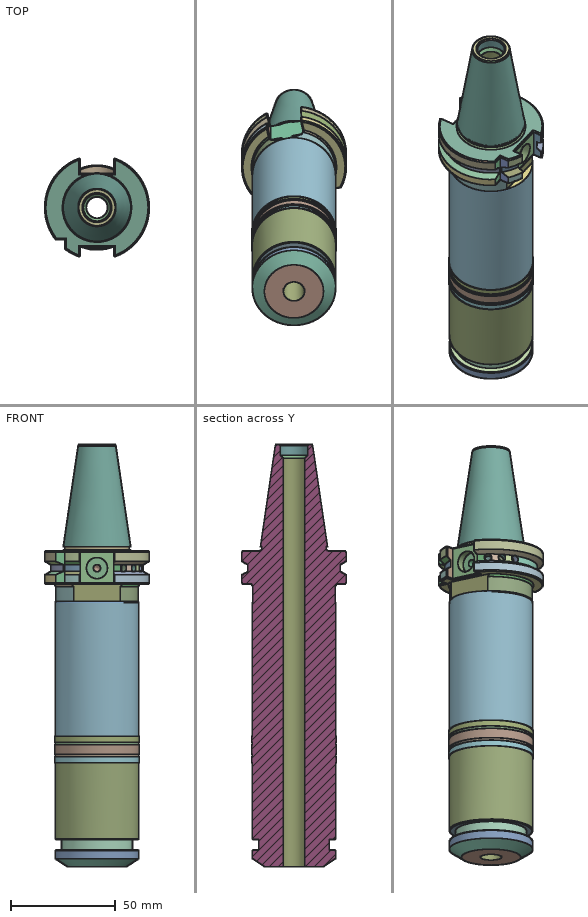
import cadquery as cq
import math

TOTAL_LENGTH = 201.6
BODY_R = 20.0
NOSE_R = 14.1
NOSE_CONE_TOP = 3.8
NUT_GROOVE_BOTTOM = 8.0
NUT_GROOVE_TOP = 13.0
NUT_GROOVE_R = 34.0 / 2
NUT_GROOVE_EDGE = 0.5
SHOULDER_EDGE = 126.0
NECK_BOTTOM = 126.6
NECK_R = 19.8
NECK_ROOT_R = 20.4
NECK_ROOT_HEIGHT = 1.2

RING_R = 40.5 / 2
RING_SPANS = [(49.6, 52.5), (53.6, 58.3), (59.5, 62.3)]

FLANGE_R = 25.0
FLANGE_BOTTOM = 135.0
FLANGE_TOP = 150.8
FLANGE_EDGE = 0.6
V_CENTER = 142.5
V_FLOOR_R = 22.2
V_FLOOR_HALF = 1.6
V_FLANK_ANGLE = 30.0

RELIEF_R = 15.5
RELIEF_ROOT_R = 16.5
RELIEF_ROOT_HEIGHT = 0.6
TAPER_BOTTOM = 152.9
TAPER_BOTTOM_R = 16.1
TAPER_TOP_R = 9.0
TAPER_EDGE_WIDTH = 0.5
TAPER_EDGE_HEIGHT = 0.8

BORE_D = 10.0
SOCKET_D = 13.0
SOCKET_DEPTH = 5.2
SOCKET_EDGE = 0.6

SLOT_WIDTH = 16.1
SLOT_EDGE = 0.5
FRONT_SLOT_FLOOR = 19.0
REAR_SLOT_FLOOR = 16.3
REAR_SLOT_END = 126.6
NECK_FLAT = 16.3
NOTCH_CORNER = 15.3

CHIP_HOLE_D = 10.0
CHIP_HOLE_DEPTH = 4.0
PILOT_D = 3.5
PILOT_DEPTH = 3.0
BALANCE_ANGLES = [-55.0, -37.5, -20.0]
BALANCE_DEPTH = 4.0
DRILL_POINT_ANGLE = 118.0


def turned(profile):
    """Solid of revolution about Z from (radius, height) points."""
    return cq.Workplane("XZ").polyline(profile).close().revolve(360, (0, 0), (0, 1))


def shaft():
    """Body, neck and taper."""
    return turned([
        (0, 0),
        (NOSE_R, 0),
        (BODY_R, NOSE_CONE_TOP),
        (BODY_R, NUT_GROOVE_BOTTOM - NUT_GROOVE_EDGE),
        (BODY_R - NUT_GROOVE_EDGE, NUT_GROOVE_BOTTOM),
        (NUT_GROOVE_R, NUT_GROOVE_BOTTOM),
        (NUT_GROOVE_R, NUT_GROOVE_TOP),
        (BODY_R - NUT_GROOVE_EDGE, NUT_GROOVE_TOP),
        (BODY_R, NUT_GROOVE_TOP + NUT_GROOVE_EDGE),
        (BODY_R, SHOULDER_EDGE),
        (NECK_R, NECK_BOTTOM),
        (NECK_R, FLANGE_BOTTOM - NECK_ROOT_HEIGHT),
        (NECK_ROOT_R, FLANGE_BOTTOM),
        (RELIEF_ROOT_R, FLANGE_BOTTOM),
        (RELIEF_ROOT_R, FLANGE_TOP),
        (RELIEF_R, FLANGE_TOP + RELIEF_ROOT_HEIGHT),
        (RELIEF_R, TAPER_BOTTOM),
        (TAPER_BOTTOM_R, TAPER_BOTTOM),
        (TAPER_TOP_R, TOTAL_LENGTH - TAPER_EDGE_HEIGHT),
        (TAPER_TOP_R - TAPER_EDGE_WIDTH, TOTAL_LENGTH),
        (0, TOTAL_LENGTH),
    ])


def v_groove():
    """Ring-shaped cutter with a flat floor and sloping flanks."""
    mouth_half = V_FLOOR_HALF + (FLANGE_R - V_FLOOR_R) * math.tan(math.radians(V_FLANK_ANGLE))
    return turned([
        (V_FLOOR_R, V_CENTER - V_FLOOR_HALF),
        (V_FLOOR_R, V_CENTER + V_FLOOR_HALF),
        (FLANGE_R, V_CENTER + mouth_half),
        (FLANGE_R, V_CENTER - mouth_half),
    ])


def flange():
    """Slotted and notched disc, chamfered along its top and bottom outlines, then V-grooved."""
    disc = cq.Workplane("XY").workplane(offset=FLANGE_BOTTOM).circle(FLANGE_R)
    disc = disc.extrude(FLANGE_TOP - FLANGE_BOTTOM)
    for cutter in (front_slot(), rear_slot(), corner_notch()):
        disc = disc.cut(cutter)
    disc = disc.faces("<Z or >Z").edges().chamfer(FLANGE_EDGE)
    return disc.cut(v_groove())


def body_ring(bottom, top):
    return cq.Workplane("XY").workplane(offset=bottom).circle(RING_R).extrude(top - bottom)


def bore():
    """Through bore with a wider socket in the taper end, joined by a 45 degree cone."""
    bore_r = BORE_D / 2
    socket_r = SOCKET_D / 2
    socket_floor = TOTAL_LENGTH - SOCKET_DEPTH
    return turned([
        (0, 0),
        (bore_r, 0),
        (bore_r, socket_floor - (socket_r - bore_r)),
        (socket_r, socket_floor),
        (socket_r, TOTAL_LENGTH - SOCKET_EDGE),
        (socket_r + SOCKET_EDGE, TOTAL_LENGTH),
        (0, TOTAL_LENGTH),
    ])


def block(x_span, y_span, z_span):
    """Box between the given limits along each axis."""
    sizes = [high - low for low, high in (x_span, y_span, z_span)]
    corner = (x_span[0], y_span[0], z_span[0])
    return cq.Workplane("XY").box(*sizes, centered=False).translate(corner)


def slot_mouth_bevel(direction):
    """Wedge that widens a drive slot towards the flange rim, on the +Y (1) or -Y (-1) side."""
    half = SLOT_WIDTH / 2
    rim = math.sqrt(FLANGE_R**2 - (half + SLOT_EDGE) ** 2)
    reach = FLANGE_R - rim + SLOT_EDGE
    points = [
        (-half, direction * (rim - SLOT_EDGE)),
        (half, direction * (rim - SLOT_EDGE)),
        (half + reach, direction * (rim - SLOT_EDGE + reach)),
        (-half - reach, direction * (rim - SLOT_EDGE + reach)),
    ]
    wedge = cq.Workplane("XY").workplane(offset=FLANGE_BOTTOM).polyline(points).close()
    return wedge.extrude(FLANGE_TOP - FLANGE_BOTTOM)


def front_slot():
    half = SLOT_WIDTH / 2
    slot = block((-half, half), (-FLANGE_R, -FRONT_SLOT_FLOOR), (FLANGE_BOTTOM, FLANGE_TOP))
    return slot.union(slot_mouth_bevel(-1))


def rear_slot():
    """Drive slot that runs on into the neck and ends in a full round."""
    half = SLOT_WIDTH / 2
    round_center = REAR_SLOT_END + half
    slot = block((-half, half), (REAR_SLOT_FLOOR, FLANGE_R), (round_center, FLANGE_TOP))
    end = (
        cq.Workplane("XZ", origin=(0, FLANGE_R, round_center))
        .circle(half)
        .extrude(FLANGE_R - REAR_SLOT_FLOOR)
    )
    return slot.union(end).union(slot_mouth_bevel(1))


def neck_flat():
    return block((-FLANGE_R, FLANGE_R), (-FLANGE_R, -NECK_FLAT), (NECK_BOTTOM, FLANGE_BOTTOM))


def corner_notch():
    return block(
        (-FLANGE_R, -NOTCH_CORNER), (-FLANGE_R, -NOTCH_CORNER), (FLANGE_BOTTOM, FLANGE_TOP)
    )


def radial_drill(angle, surface_distance, diameter, depth):
    """Drilled hole with a pointed end, running from a surface towards the part axis."""
    radius = diameter / 2
    point = radius / math.tan(math.radians(DRILL_POINT_ANGLE / 2))
    floor = surface_distance - depth
    profile = [
        (floor - point, 0),
        (floor, radius),
        (FLANGE_R, radius),
        (FLANGE_R, 0),
    ]
    drill = cq.Workplane("XY").polyline(profile).close().revolve(360, (0, 0), (1, 0))
    return drill.rotate((0, 0, 0), (0, 0, 1), angle).translate((0, 0, V_CENTER))


def chip_hole():
    """Flat-bottomed hole in the front slot floor with a small pilot hole at its center."""
    pocket = (
        cq.Workplane("XZ", origin=(0, -FRONT_SLOT_FLOOR + CHIP_HOLE_DEPTH, V_CENTER))
        .circle(CHIP_HOLE_D / 2)
        .extrude(CHIP_HOLE_DEPTH)
    )
    return pocket.union(radial_drill(-90, FRONT_SLOT_FLOOR - CHIP_HOLE_DEPTH, PILOT_D, PILOT_DEPTH))


result = shaft()
for ring_bottom, ring_top in RING_SPANS:
    result = result.union(body_ring(ring_bottom, ring_top))
result = result.cut(rear_slot()).cut(front_slot()).union(flange())
for cutter in (bore(), neck_flat(), chip_hole()):
    result = result.cut(cutter)
for balance_angle in BALANCE_ANGLES:
    result = result.cut(radial_drill(balance_angle, V_FLOOR_R, PILOT_D, BALANCE_DEPTH))